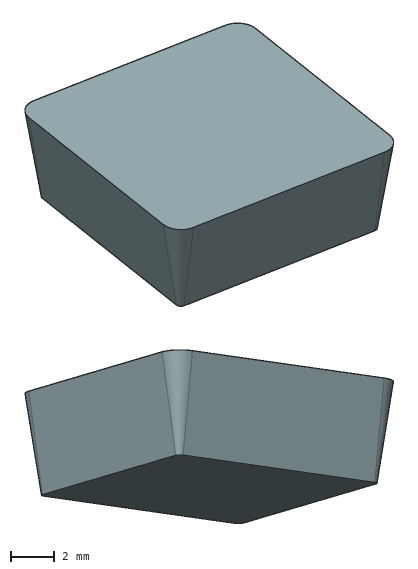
import cadquery as cq
import math

side_length = 12.7
thickness = 4.76
corner_radius = 1.0
relief_angle = 9.0

flank_inset = thickness * math.tan(math.radians(relief_angle))


def rounded_square(size, radius, height):
    """Square outline with rounded corners, centred on the Z axis at a given height."""
    sketch = cq.Sketch().rect(size, size).vertices().fillet(radius)
    return sketch.moved(cq.Location(cq.Vector(0, 0, height)))


bottom_outline = rounded_square(side_length - 2 * flank_inset, corner_radius - flank_inset, 0)
top_outline = rounded_square(side_length, corner_radius, thickness)

result = cq.Workplane("XY").placeSketch(bottom_outline, top_outline).loft(ruled=True)